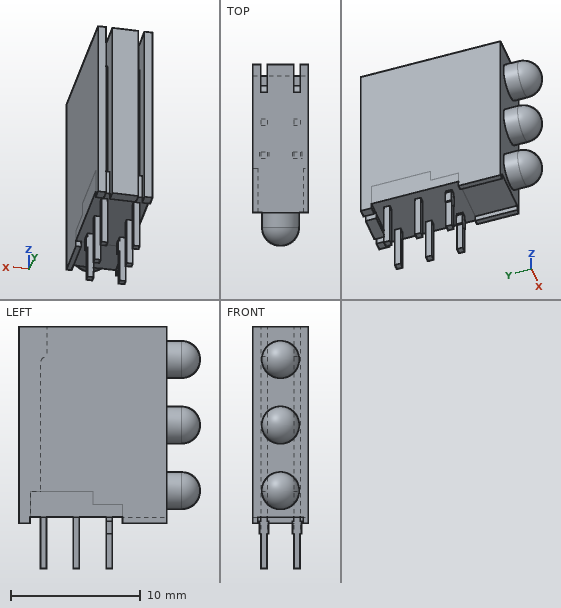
import cadquery as cq

total_height = 18.74
total_depth = 14.05
housing_width = 4.33
housing_depth = 11.47
housing_base = 3.5
housing_height = total_height - housing_base

lens_count = 3
lens_diameter = 2.9
lens_radius = lens_diameter / 2
lens_pitch = housing_height / lens_count
lens_length = total_depth - housing_depth
lens_heights = [housing_base + lens_pitch * (i + 0.5) for i in range(lens_count)]

pin_size = 0.49
pin_pitch = 2.55
pin_columns = (-pin_pitch / 2, pin_pitch / 2)
first_row_depth = 1.91
rear_row_depth, middle_row_depth, front_row_depth = [first_row_depth + pin_pitch * i for i in range(3)]
collar_width = 0.71
collar_base = 2.7
collar_height = 1.0

insert_rear = 0.88
insert_step = 5.72
insert_front = 8.02
standoff = 0.49
insert_base = housing_base + standoff
insert_low_top = housing_base + 1.48
insert_high_top = housing_base + 2.5

channel_width = 3.5
slot_depth = rear_row_depth + pin_size / 2


def box(width, depth, height, x, rear_depth, base):
    """Box centred on x, with its rear side rear_depth in from the rear face of the housing."""
    block = cq.Workplane("XY").box(width, depth, height, centered=(True, False, False))
    return block.translate((x, -rear_depth - depth, base))


def insert_block(base):
    """Stepped block across the full housing width, reaching down to base."""
    profile = [
        (-insert_rear, base),
        (-insert_rear, insert_high_top),
        (-insert_step, insert_high_top),
        (-insert_step, insert_low_top),
        (-insert_front, insert_low_top),
        (-insert_front, base),
    ]
    return cq.Workplane("YZ").polyline(profile).close().extrude(housing_width / 2, both=True)


def lens(z):
    """Round lens with a hemispherical end, standing out of the front face."""
    straight_length = lens_length - lens_radius
    profile = (
        cq.Workplane("XY")
        .lineTo(lens_radius, 0)
        .lineTo(lens_radius, -straight_length)
        .radiusArc((0, -lens_length), lens_radius)
        .close()
    )
    return profile.revolve(360, (0, 0, 0), (0, 1, 0)).translate((0, -housing_depth, z))


def straight_pin(x, row_depth):
    """Square pin from its tip up into the insert."""
    return box(pin_size, pin_size, insert_low_top, x, row_depth - pin_size / 2, 0)


def collar(x, row_depth):
    """Widened stretch of a pin."""
    return box(collar_width, pin_size, collar_height, x, row_depth - pin_size / 2, collar_base)


def bent_pin(x, row_depth):
    """Pin that climbs its slot and bends forward into the housing behind the top lens."""
    rear_y = -row_depth + pin_size / 2
    front_y = rear_y - pin_size
    top = lens_heights[-1] + pin_size / 2
    profile = (
        cq.Workplane("YZ")
        .moveTo(front_y, 0)
        .lineTo(rear_y, 0)
        .lineTo(rear_y, top - pin_size)
        .radiusArc((front_y, top), -pin_size)
        .close()
    )
    return profile.extrude(pin_size / 2, both=True).translate((x, 0, 0))


housing = box(housing_width, housing_depth, housing_height, 0, 0, housing_base)
housing = housing.cut(insert_block(housing_base))
channel_length = housing_depth - insert_front
housing = housing.cut(box(channel_width, channel_length, standoff, 0, insert_front, housing_base))
for column_x in pin_columns:
    housing = housing.cut(box(pin_size, slot_depth, housing_height, column_x, 0, housing_base))
for lens_z in lens_heights:
    housing = housing.union(lens(lens_z))

insert = insert_block(insert_base)
for column_x in pin_columns:
    insert = insert.union(bent_pin(column_x, rear_row_depth))
    insert = insert.union(straight_pin(column_x, middle_row_depth))
    insert = insert.union(straight_pin(column_x, front_row_depth))
    insert = insert.union(collar(column_x, front_row_depth))

result = housing.union(insert, clean=False)